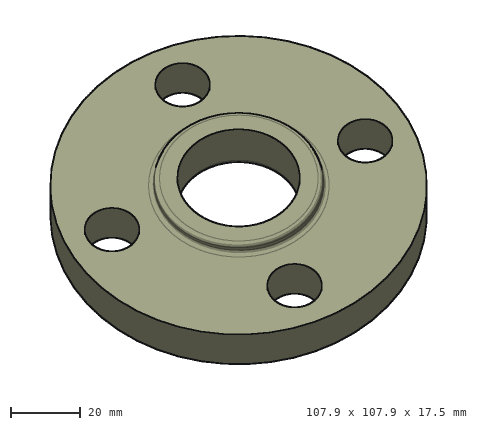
import cadquery as cq
import math

flange_diameter = 107.9
flange_thickness = 14.0

overall_height = 17.5
hub_base_diameter = 49.2
hub_taper_angle = 10.0
hub_top_radius = 1.5
hub_root_radius = 1.5

bore_diameter = 35.1
bore_mouth_radius = 3.0

bolt_circle_diameter = 79.3
bolt_hole_diameter = 15.6
bolt_hole_count = 4

hub_height = overall_height - flange_thickness
flange_radius = flange_diameter / 2
hub_base_radius = hub_base_diameter / 2
hub_end_radius = hub_base_radius - hub_height * math.tan(math.radians(hub_taper_angle))

smallest_circle = cq.selectors.RadiusNthSelector(0)


def flange_with_hub():
    """Disc with a short tapered hub, revolved about Z, with rounded hub edges."""
    body = (
        cq.Workplane("XZ")
        .lineTo(flange_radius, 0)
        .lineTo(flange_radius, flange_thickness)
        .lineTo(hub_base_radius, flange_thickness)
        .lineTo(hub_end_radius, overall_height)
        .lineTo(0, overall_height)
        .close()
        .revolve(360, (0, 0, 0), (0, 1, 0))
    )
    flange_top = body.faces("|Z").faces("<Z[1]")
    body = flange_top.edges(smallest_circle).fillet(hub_root_radius)
    return body.faces(">Z").edges().fillet(hub_top_radius)


def cut_bore(body):
    """Through bore with a rounded mouth on the bottom face."""
    bore = cq.Workplane("XY").circle(bore_diameter / 2).extrude(overall_height)
    bored = body.cut(bore)
    return bored.faces("<Z").edges(smallest_circle).fillet(bore_mouth_radius)


def cut_bolt_holes(body):
    """Equally spaced through holes, the first on the X axis."""
    holes = (
        cq.Workplane("XY")
        .polarArray(bolt_circle_diameter / 2, 0, 360, bolt_hole_count)
        .circle(bolt_hole_diameter / 2)
        .extrude(flange_thickness)
    )
    return body.cut(holes)


result = cut_bolt_holes(cut_bore(flange_with_hub()))